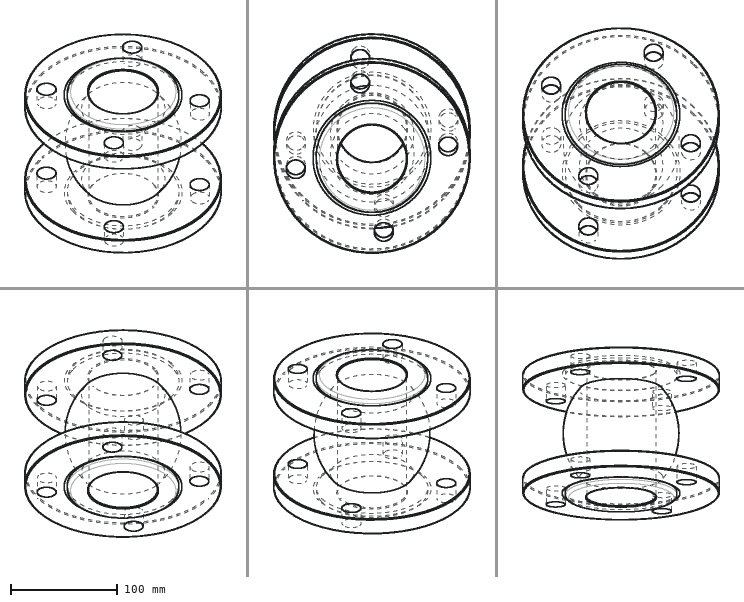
import cadquery as cq

total_height = 125.0
flange_diameter = 185.0
half_height = total_height / 2

flange_thickness = 16.0
flange_edge_chamfer = 1.0
bolt_hole_diameter = 18.0
bolt_circle_diameter = 145.0
bolt_hole_count = 4
first_bolt_angle = 45.0

collar_diameter = 105.0
collar_height = 4.0
collar_fillet = 3.0
collar_groove_width = 3.0
collar_groove_depth = 1.5

bulb_diameter = 109.2
bulb_neck_diameter = 78.5
bore_diameter = 65.0
bore_chamfer = 1.0

flange_outer_z = half_height - collar_height
flange_inner_z = flange_outer_z - flange_thickness


def make_bulb():
    """Barrel-shaped solid with an arc profile, spanning between the flanges."""
    neck_radius = bulb_neck_diameter / 2
    return (
        cq.Workplane("XZ")
        .moveTo(0, -flange_inner_z)
        .lineTo(neck_radius, -flange_inner_z)
        .threePointArc((bulb_diameter / 2, 0), (neck_radius, flange_inner_z))
        .lineTo(0, flange_inner_z)
        .close()
        .revolve(360, (0, 0, 0), (0, 1, 0))
    )


def make_collar_groove():
    """V-groove cutter: sloped flange edge outside, straight collar wall inside."""
    collar_radius = collar_diameter / 2
    return (
        cq.Workplane("XZ")
        .moveTo(collar_radius, flange_outer_z)
        .lineTo(collar_radius + collar_groove_width, flange_outer_z)
        .lineTo(collar_radius, flange_outer_z - collar_groove_depth)
        .close()
        .revolve(360, (0, 0, 0), (0, 1, 0))
    )


def make_upper_flange():
    """Flange with chamfered rims, sealing collar, groove and bolt holes."""
    flange = (
        cq.Workplane("XY")
        .workplane(offset=flange_inner_z)
        .circle(flange_diameter / 2)
        .extrude(flange_thickness)
        .edges()
        .chamfer(flange_edge_chamfer)
    )
    collar = (
        cq.Workplane("XY")
        .workplane(offset=flange_outer_z)
        .circle(collar_diameter / 2)
        .extrude(collar_height)
        .faces(">Z")
        .edges()
        .fillet(collar_fillet)
    )
    bolt_holes = (
        cq.Workplane("XY")
        .workplane(offset=flange_inner_z)
        .polarArray(bolt_circle_diameter / 2, first_bolt_angle, 360, bolt_hole_count)
        .circle(bolt_hole_diameter / 2)
        .extrude(flange_thickness)
    )
    return flange.union(collar).cut(make_collar_groove()).cut(bolt_holes)


def make_bore():
    """Through bore that widens with a chamfer at both ends."""
    bore_mouth = (
        cq.Workplane("XZ")
        .moveTo(0, half_height)
        .lineTo(bore_diameter / 2 + bore_chamfer, half_height)
        .lineTo(bore_diameter / 2, half_height - bore_chamfer)
        .lineTo(0, half_height - bore_chamfer)
        .close()
        .revolve(360, (0, 0, 0), (0, 1, 0))
    )
    bore = cq.Workplane("XY").circle(bore_diameter / 2).extrude(half_height, both=True)
    return bore.union(bore_mouth).union(bore_mouth.mirror("XY"))


upper_flange = make_upper_flange()
lower_flange = upper_flange.mirror("XY")
result = make_bulb().union(upper_flange).union(lower_flange).cut(make_bore())